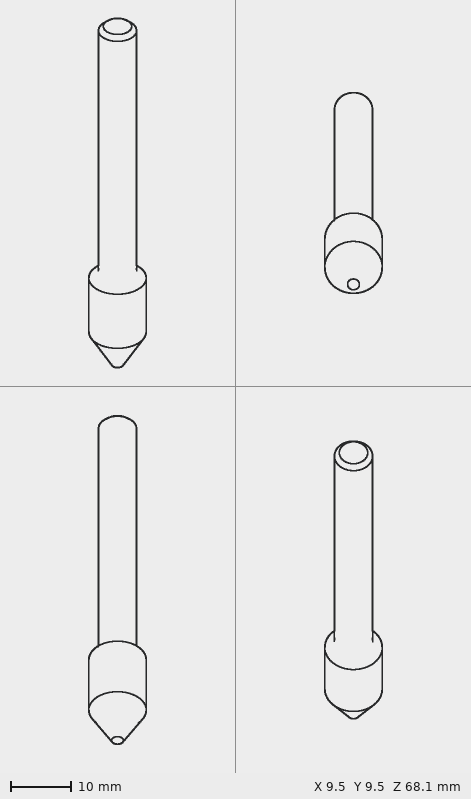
import cadquery as cq
import math

total_length = 68.1
shank_diameter = 6.3
collar_diameter = 9.5
tip_end_diameter = 2.0

tip_length = 6.55
collar_top = 17.4

flare_radius = (collar_diameter - shank_diameter) / 2
end_chamfer = 0.8


def make_body():
    """Chamfered shank that flares out through a concave fillet to the rim of the collar."""
    shank_radius = shank_diameter / 2
    collar_radius = collar_diameter / 2
    flare_top = collar_top + flare_radius
    flare_middle = (
        collar_radius - flare_radius * math.sin(math.radians(45)),
        flare_top - flare_radius * math.sin(math.radians(45)),
    )
    profile = (
        cq.Workplane("XZ")
        .moveTo(0, tip_length)
        .lineTo(collar_radius, tip_length)
        .lineTo(collar_radius, collar_top)
        .threePointArc(flare_middle, (shank_radius, flare_top))
        .lineTo(shank_radius, total_length - end_chamfer)
        .lineTo(shank_radius - end_chamfer, total_length)
        .lineTo(0, total_length)
        .close()
    )
    return profile.revolve(360, (0, 0), (0, 1))


def make_tip():
    """Truncated cone seated against the flat bottom of the collar."""
    profile = (
        cq.Workplane("XZ")
        .lineTo(tip_end_diameter / 2, 0)
        .lineTo(collar_diameter / 2, tip_length)
        .lineTo(0, tip_length)
        .close()
    )
    return profile.revolve(360, (0, 0), (0, 1))


body = make_body()
tip = make_tip()
result = cq.Compound.makeCompound([body.val(), tip.val()])